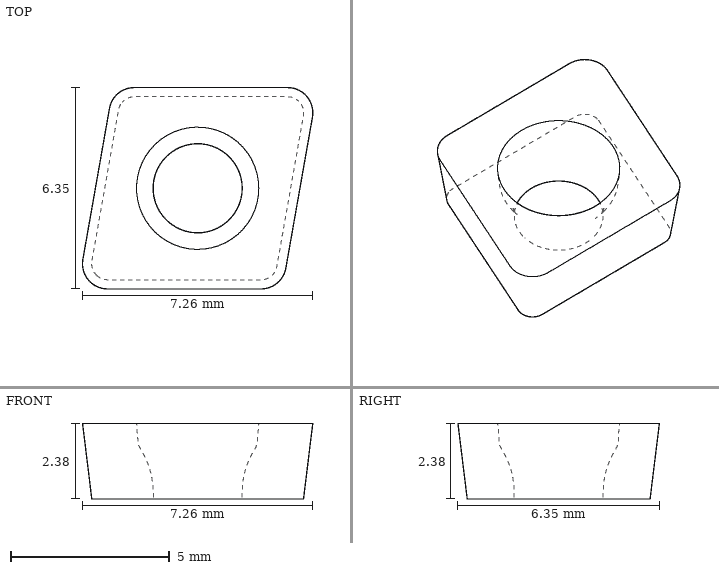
import cadquery as cq
import math

inscribed_diameter = 6.35
thickness = 2.38
nose_angle = 80.0
corner_radius = 0.8
clearance_angle = 7.0

bore_diameter = 2.8
mouth_diameter = 3.85
mouth_half_angle = 4.5
seat_curve_radius = 2.5
seat_blend_radius = 0.5
bore_length = 0.22


def make_body():
    """Rounded rhombus at the top face, narrowing towards the bottom face."""
    side = inscribed_diameter / math.sin(math.radians(nose_angle))
    half_height = inscribed_diameter / 2
    lean = half_height / math.tan(math.radians(nose_angle))
    half_side = side / 2
    corners = [
        (-half_side - lean, -half_height),
        (half_side - lean, -half_height),
        (half_side + lean, half_height),
        (-half_side + lean, half_height),
    ]
    outline = cq.Sketch().polygon(corners + corners[:1]).vertices().fillet(corner_radius)
    return (
        cq.Workplane("XY")
        .workplane(offset=thickness)
        .placeSketch(outline)
        .extrude(-thickness, taper=clearance_angle)
    )


def seat_mouth_junction(bore_radius, mouth_radius):
    """Radius and height where the mouth cone meets the seat curve."""
    center_radius = bore_radius + seat_curve_radius
    angle = math.radians(mouth_half_angle)
    wall_radial = -math.sin(angle)
    wall_axial = -math.cos(angle)
    rim_radial = mouth_radius - center_radius
    rim_axial = thickness - bore_length
    along = rim_radial * wall_radial + rim_axial * wall_axial
    rim_excess = rim_radial**2 + rim_axial**2 - seat_curve_radius**2
    wall_length = -along - math.sqrt(along**2 - rim_excess)
    return mouth_radius + wall_length * wall_radial, thickness + wall_length * wall_axial


def make_screw_hole():
    """Solid of revolution that is removed to leave the screw hole."""
    bore_radius = bore_diameter / 2
    mouth_radius = mouth_diameter / 2
    junction_radius, junction_height = seat_mouth_junction(bore_radius, mouth_radius)
    seat_angle = math.asin((junction_height - bore_length) / seat_curve_radius)
    middle_angle = seat_angle / 2
    seat_middle = (
        bore_radius + seat_curve_radius * (1 - math.cos(middle_angle)),
        bore_length + seat_curve_radius * math.sin(middle_angle),
    )
    hole = (
        cq.Workplane("XZ")
        .lineTo(bore_radius, 0)
        .lineTo(bore_radius, bore_length)
        .threePointArc(seat_middle, (junction_radius, junction_height))
        .lineTo(mouth_radius, thickness)
        .lineTo(0, thickness)
        .close()
        .revolve(360, (0, 0, 0), (0, 1, 0))
    )
    junction_edge = cq.selectors.NearestToPointSelector((0, 0, junction_height))
    return hole.edges("%CIRCLE").edges(junction_edge).fillet(seat_blend_radius)


result = make_body().cut(make_screw_hole())